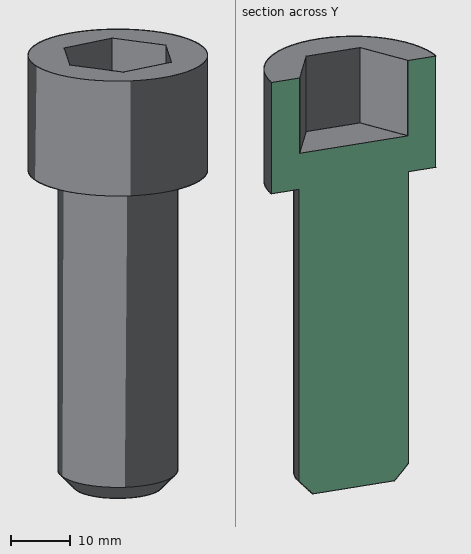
import cadquery as cq
import math

total_length = 75.0
head_diameter = 30.0
shank_diameter = 20.0
head_height = shank_diameter
shank_length = total_length - head_height

tip_height = 2.7
tip_inset = 2.55

socket_across_flats = 17.0
socket_across_corners = socket_across_flats / math.cos(math.pi / 6)
socket_depth = 13.5


def make_shank():
    """Shank from Z = 0 up to the underside of the head, with a tapered tip."""
    radius = shank_diameter / 2
    half_profile = [
        (0, 0),
        (radius - tip_inset, 0),
        (radius, tip_height),
        (radius, shank_length),
        (0, shank_length),
    ]
    return cq.Workplane("XZ").polyline(half_profile).close().revolve(360, (0, 0), (0, 1))


def make_head():
    """Plain cylindrical head on top of the shank."""
    underside = cq.Workplane("XY").workplane(offset=shank_length)
    return underside.circle(head_diameter / 2).extrude(head_height)


def make_socket():
    """Hexagonal prism to cut down from the top of the head."""
    top = cq.Workplane("XY").workplane(offset=total_length)
    return top.polygon(6, socket_across_corners).extrude(-socket_depth)


result = make_shank().union(make_head()).cut(make_socket())